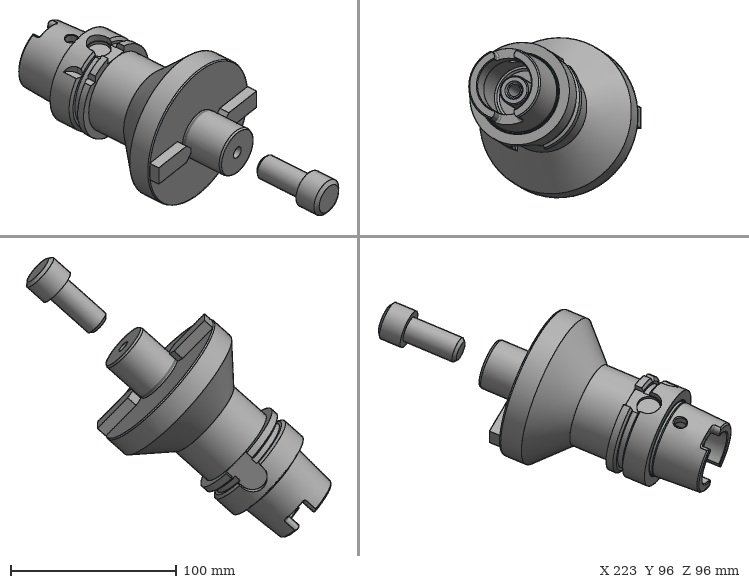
import cadquery as cq
import math

AXIS_START = (0, 0, 0)
AXIS_END = (1, 0, 0)

shank_length = 32.0
shank_root_radius = 24.3
taper_slope = 1 / 20
shank_tip_radius = shank_root_radius - taper_slope * shank_length
shank_tip_chamfer = 0.9
relief_radius = 23.9
relief_start = -2.1
relief_full = -1.2
face_groove_radius = 25.2
face_groove_depth = 0.5
face_groove_floor_radius = 24.6

flange_radius = 31.5
flange_width = 26.0
gripper_groove_radius = 27.5
gripper_groove_start = 14.8
gripper_groove_end = 21.4
groove_bevel_width = 1.3
groove_bevel_height = 2.2

neck_radius = 26.5
cone_start = 53.0
disc_radius = 48.0
cone_end = 75.0
disc_face = 90.0
disc_chamfer_length = 1.0
disc_chamfer_height = 0.5

spigot_radius = 31.75 / 2
spigot_relief_radius = 31.35 / 2
spigot_relief_length = 1.2
spigot_relief_ramp = 0.8
spigot_length = 30.0
spigot_end = disc_face + spigot_length
spigot_chamfer_length = 1.4
spigot_chamfer_height = 0.6

key_width = 12.7
key_height = 7.0
key_outer = 47.3
key_inner = 16.2
key_nose_chamfer = 4.3

mouth_radius = 34.0 / 2
mouth_chamfer = 0.6
lip_depth = 13.5
clamp_radius = 37.0 / 2
clamp_angle = 60.0
clamp_run = (clamp_radius - mouth_radius) / math.tan(math.radians(clamp_angle))
cavity_floor = 10.0
floor_radius = 31.4 / 2
floor_bevel = mouth_radius - floor_radius

stub_radius = 18.0 / 2
stub_tip_radius = 16.5 / 2
stub_face = -11.6
stub_mouth_radius = 11.3 / 2
stub_seat_radius = 4.7
stub_seat_depth = 1.0
coolant_bore_radius = 7.5 / 2

notch_width = 12.54
notch_depth_top = 5.8
notch_depth_bottom = 10.0
notch_root_fillet = 1.2
notch_edge_fillet = 3.0

access_x = -8.7
access_radius = 7.5 / 2
access_mouth_radius = 9.0 / 2
access_inner_end = 12.0

top_slot_width = 15.4
bottom_slot_width = 18.0
slot_end_x = 12.8
slot_floor = 26.5
pocket_radius = 14.5 / 2
pocket_depth = 2.0
index_end_x = 12.2
index_cutter_radius = 8.0
index_wall_y = -19.9
index_floor_z = 19.8

screw_tip = 140.0
screw_shank_length = 35.0
screw_shank_radius = 16.0 / 2
screw_tip_chamfer = 2.0
screw_head_radius = 24.0 / 2
screw_head_length = 16.0
screw_head_chamfer_length = 2.0
screw_head_chamfer_height = 2.6


def revolve_profile(points):
    """Turn a closed (X, radius) outline around the X axis."""
    return cq.Workplane("XY").polyline(points).close().revolve(360, AXIS_START, AXIS_END)


def holder_blank():
    """Outer turned shape from shank rim to spigot end."""
    relief_start_radius = shank_root_radius + taper_slope * relief_start
    groove_left = gripper_groove_start + groove_bevel_width
    groove_right = gripper_groove_end - groove_bevel_width
    bevel_radius = flange_radius - groove_bevel_height
    relief_end = disc_face + spigot_relief_length
    return revolve_profile([
        (-shank_length, 0),
        (-shank_length, shank_tip_radius - shank_tip_chamfer),
        (-shank_length + shank_tip_chamfer, shank_tip_radius),
        (relief_start, relief_start_radius),
        (relief_full, relief_radius),
        (face_groove_depth, relief_radius),
        (face_groove_depth, face_groove_floor_radius),
        (0, face_groove_radius),
        (0, flange_radius),
        (gripper_groove_start, flange_radius),
        (groove_left, bevel_radius),
        (groove_left, gripper_groove_radius),
        (groove_right, gripper_groove_radius),
        (groove_right, bevel_radius),
        (gripper_groove_end, flange_radius),
        (flange_width, flange_radius),
        (flange_width, neck_radius),
        (cone_start, neck_radius),
        (cone_end, disc_radius),
        (disc_face - disc_chamfer_length, disc_radius),
        (disc_face, disc_radius - disc_chamfer_height),
        (disc_face, spigot_relief_radius),
        (relief_end, spigot_relief_radius),
        (relief_end + spigot_relief_ramp, spigot_radius),
        (spigot_end - spigot_chamfer_length, spigot_radius),
        (spigot_end, spigot_radius - spigot_chamfer_height),
        (spigot_end, 0),
    ])


def cavity():
    """Clamping cavity around the coolant stub, with the coolant bore through to the spigot end."""
    rim = -shank_length
    lip_end = rim + lip_depth
    return revolve_profile([
        (rim, 0),
        (rim, mouth_radius + mouth_chamfer),
        (rim + mouth_chamfer, mouth_radius),
        (lip_end, mouth_radius),
        (lip_end + clamp_run, clamp_radius),
        (cavity_floor - floor_bevel, clamp_radius),
        (cavity_floor - floor_bevel, mouth_radius),
        (cavity_floor, floor_radius),
        (cavity_floor, stub_radius),
        (stub_face + stub_radius - stub_tip_radius, stub_radius),
        (stub_face, stub_tip_radius),
        (stub_face, stub_mouth_radius),
        (stub_face + stub_seat_depth, stub_seat_radius),
        (stub_face + stub_seat_depth, coolant_bore_radius),
        (spigot_end, coolant_bore_radius),
        (spigot_end, 0),
    ])


def rim_notch(side, depth):
    """Cutter for a notch in the shank rim; side is +1 for +Z and -1 for -Z."""
    half_width = notch_width / 2
    top = shank_root_radius + notch_root_fillet
    slot = cq.Workplane("XY").box(2 * depth, notch_width, top, centered=(True, True, False))
    flare_y = half_width + notch_edge_fillet
    flare_z = math.sqrt(shank_tip_radius ** 2 - flare_y ** 2)
    arc_z = flare_z - notch_edge_fillet
    diagonal = notch_edge_fillet * math.sqrt(0.5)
    arc_mid = (flare_y - diagonal, arc_z + diagonal)
    flare = (
        cq.Workplane("YZ", origin=(-depth, 0, 0))
        .moveTo(-flare_y, flare_z)
        .threePointArc((-arc_mid[0], arc_mid[1]), (-half_width, arc_z))
        .lineTo(half_width, arc_z)
        .threePointArc(arc_mid, (flare_y, flare_z))
        .lineTo(flare_y, top)
        .lineTo(-flare_y, top)
        .close()
        .extrude(2 * depth)
    )
    cutter = slot.union(flare).faces(">X").edges().fillet(notch_root_fillet)
    if side < 0:
        cutter = cutter.mirror("XY")
    return cutter.translate((-shank_length, 0, 0))


def access_hole():
    """Radial hole through the +Z shank wall, countersunk outside."""
    sink_depth = access_mouth_radius - access_radius
    surface = shank_root_radius + taper_slope * access_x
    return (
        cq.Workplane("XZ", origin=(access_x, 0, 0))
        .polyline([
            (0, access_inner_end),
            (access_radius, access_inner_end),
            (access_radius, surface - sink_depth),
            (access_mouth_radius, surface),
            (access_mouth_radius, flange_radius),
            (0, flange_radius),
        ])
        .close()
        .revolve(360, (0, 0, 0), (0, 1, 0))
    )


def round_ended_slot(end_x, centre_y, floor_z, width):
    """Slot cutter with a level floor, round toward -X and open at the +X face of the flange."""
    run = flange_width - end_x
    height = flange_radius - floor_z
    floor = cq.Workplane("XY", origin=(end_x, centre_y, floor_z))
    straight = floor.center(run / 2, 0).rect(run, width).extrude(height)
    return floor.circle(width / 2).extrude(height).union(straight)


def top_slot():
    """Slot in the +Z side of the flange with a round pocket in its floor."""
    floor = cq.Workplane("XY", origin=(slot_end_x, 0, slot_floor))
    pocket = floor.circle(pocket_radius).extrude(-pocket_depth)
    return round_ended_slot(slot_end_x, 0, slot_floor, top_slot_width).union(pocket)


def bottom_slot():
    """Wider slot in the -Z side of the flange."""
    return round_ended_slot(slot_end_x, 0, slot_floor, bottom_slot_width).mirror("XY")


def index_notch():
    """Corner notch on the (-Y, +Z) side of the flange."""
    centre_y = index_wall_y - index_cutter_radius
    return round_ended_slot(index_end_x, centre_y, index_floor_z, 2 * index_cutter_radius)


def drive_key(side):
    """Key standing on the disc face with a chamfered inner nose; side is the sign of Y."""
    half_width = key_width / 2
    nose_half = half_width - key_nose_chamfer
    shoulder = key_inner + key_nose_chamfer
    return (
        cq.Workplane("YZ", origin=(disc_face, 0, 0))
        .polyline([
            (side * key_outer, -half_width),
            (side * key_outer, half_width),
            (side * shoulder, half_width),
            (side * key_inner, nose_half),
            (side * key_inner, -nose_half),
            (side * shoulder, -half_width),
        ])
        .close()
        .extrude(key_height)
    )


def make_holder():
    """Complete tool holder."""
    body = holder_blank()
    for side in (1, -1):
        body = body.union(drive_key(side))
    body = body.cut(top_slot()).cut(bottom_slot()).cut(index_notch())
    body = body.cut(cavity())
    body = body.cut(rim_notch(1, notch_depth_top))
    body = body.cut(rim_notch(-1, notch_depth_bottom))
    return body.cut(access_hole())


def make_screw():
    """Cylinder-head screw on the holder's axis, clear of the spigot."""
    head_start = screw_tip + screw_shank_length
    head_end = head_start + screw_head_length
    return revolve_profile([
        (screw_tip, 0),
        (screw_tip, screw_shank_radius - screw_tip_chamfer),
        (screw_tip + screw_tip_chamfer, screw_shank_radius),
        (head_start, screw_shank_radius),
        (head_start, screw_head_radius),
        (head_end - screw_head_chamfer_length, screw_head_radius),
        (head_end, screw_head_radius - screw_head_chamfer_height),
        (head_end, 0),
    ])


holder = make_holder()
screw = make_screw()
result = cq.Compound.makeCompound([holder.val(), screw.val()])